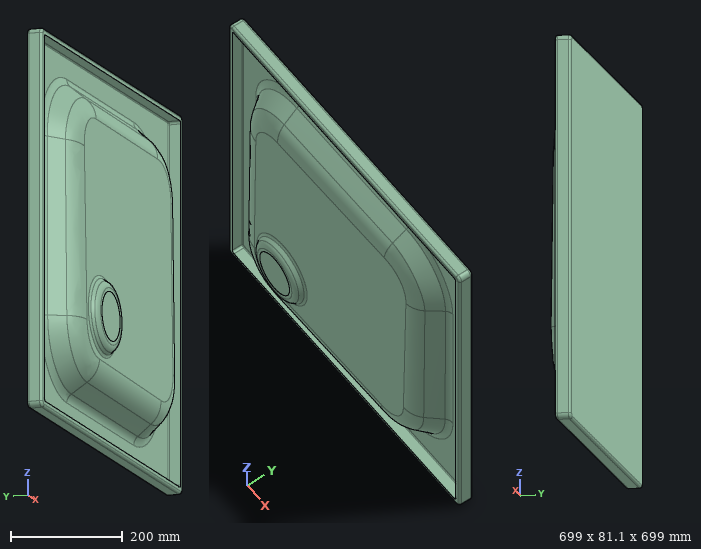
import cadquery as cq
import math

tray_side = 699.0
rim_depth = 30.0
rim_width = 11.5
rim_corner_radius = 10.0
rim_fillet = 5.0
panel_thickness = 6.5
panel_fillet = 2.0

mouth_side = 578.0
mouth_corner_radius = 123.0
mouth_fillet = 19.0
floor_side = 493.0
floor_corner_radius = 86.0
floor_shift = 2.5
floor_depth = 61.2
floor_slope = 0.014
floor_fillet = 50.0

drain_offset = 140.0
drain_depth = 81.1
drain_flat_diameter = 103.75
drain_wall_angle = 55.0
drain_edge_fillet = 15.0
drain_root_fillet = 7.0
drain_boss_height = 25.0
disc_diameter = 90.0
disc_thickness = 8.0

selection_margin = 0.5


def at_depth(depth, offset=0):
    """Workplane at a depth below the upper face, moved towards -X and -Z, with its normal along -Y."""
    return cq.Workplane("XZ", origin=(-offset, -depth, -offset))


def rounded_square(side, corner_radius):
    return cq.Sketch().rect(side, side).vertices().fillet(corner_radius)


def make_rim():
    """Square slab with rounded edges, recessed underneath so that a rim stands around a panel."""
    slab_outline = rounded_square(tray_side, rim_corner_radius)
    slab = at_depth(0).placeSketch(slab_outline).extrude(rim_depth)
    slab = slab.faces("<Y or >Y").edges().fillet(rim_fillet)

    recess_outline = rounded_square(tray_side - 2 * rim_width, rim_corner_radius / 2)
    recess = at_depth(panel_thickness).placeSketch(recess_outline).extrude(rim_depth)
    recess = recess.faces(">Y").edges().fillet(panel_fillet)
    return slab.cut(recess)


def make_basin():
    """Basin body from the panel down to the sloping floor, rounded around the floor."""
    mouth_plane = at_depth(panel_thickness).plane
    floor_plane = cq.Plane(
        origin=(-floor_shift, -floor_depth, -floor_shift),
        xDir=(1, floor_slope, 0),
        normal=(floor_slope, -1, floor_slope),
    )
    mouth = rounded_square(mouth_side, mouth_corner_radius)
    floor = rounded_square(floor_side, floor_corner_radius)
    mouth_to_floor = mouth_plane.location.inverse * floor_plane.location
    basin = cq.Workplane(mouth_plane).placeSketch(mouth, floor.moved(mouth_to_floor)).loft(ruled=True)
    return basin.faces("<Y").edges().fillet(floor_fillet)


def make_drain_boss():
    """Conical boss reaching from the underside of the drain up into the basin."""
    edge_inset = drain_edge_fillet * math.tan(math.radians(drain_wall_angle / 2))
    boss = (
        at_depth(drain_depth, drain_offset)
        .circle(drain_flat_diameter / 2 + edge_inset)
        .extrude(-drain_boss_height, taper=drain_wall_angle - 90)
    )
    return boss.faces("<Y").edges().fillet(drain_edge_fillet)


def fillet_within(body, half_width, depth_range, offset, radius):
    """Round the edges that lie wholly in a square region of the body between two depths."""
    top, bottom = depth_range
    region = cq.selectors.BoxSelector(
        (-offset - half_width, -bottom, -offset - half_width),
        (-offset + half_width, -top, -offset + half_width),
        boundingbox=True,
    )
    return body.edges(region).fillet(radius)


def make_tray():
    """Rim, panel, basin and drain boss as one body, with a recess for the disc."""
    tray = make_rim().union(make_basin())
    mouth_depths = (panel_thickness - selection_margin, panel_thickness + selection_margin)
    mouth_half_width = mouth_side / 2 + selection_margin
    tray = fillet_within(tray, mouth_half_width, mouth_depths, 0, mouth_fillet)

    tray = tray.union(make_drain_boss())
    root_depths = (floor_depth, drain_depth - drain_edge_fillet / 2)
    tray = fillet_within(tray, drain_flat_diameter, root_depths, drain_offset, drain_root_fillet)
    return tray.cut(make_disc())


def make_disc():
    disc_top = at_depth(drain_depth - disc_thickness, drain_offset)
    return disc_top.circle(disc_diameter / 2).extrude(disc_thickness)


tray = make_tray()
disc = make_disc()
result = cq.Compound.makeCompound([tray.val(), disc.val()])